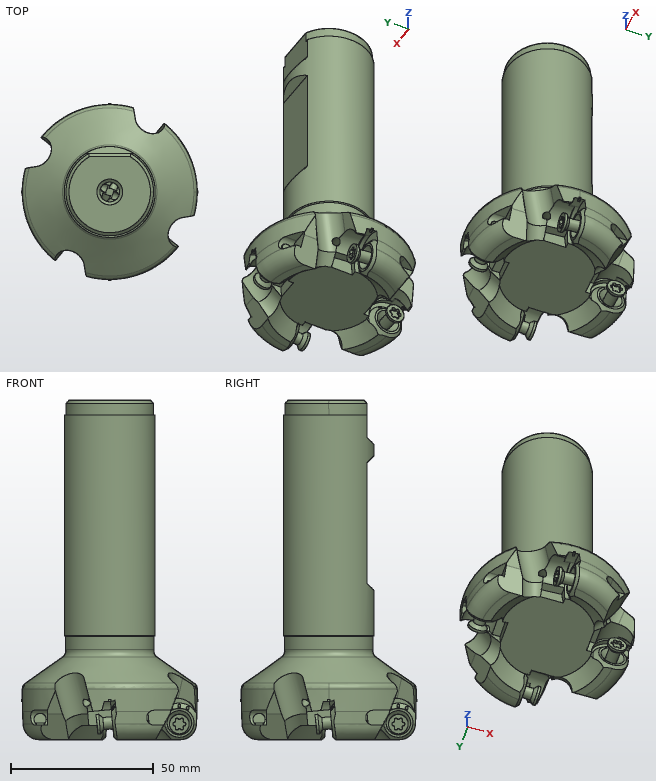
import cadquery as cq
import math


total_height = 118.9
outer_radius = 30.9
pocket_count = 4
reach = 35.7

shank_radius = 15.9
collar_radius = 15.3
collar_bottom = 113.7
collar_chamfer = 1.1
neck_radius = 15.6
neck_top = 36.1
neck_bottom = 31.6
neck_flare_radius = 16.5
neck_flare_bottom = 29.0
cone_end_radius = 29.5
cone_end_height = 19.8
rim_radius = 30.7
rim_top = 17.8
rim_bottom = 9.9
rim_corner_radius = 5.6
rim_taper = 0.2

flat_distance = 13.4
upper_flat_bottom = 105.8
lower_flat_top = 97.0
lower_flat_bottom = 54.7

recess_mouth_radius = 21.9
recess_floor_radius = 17.1
recess_depth = 5.0

bore_radius = 3.5
bore_mouth_radius = 4.5
bore_bottom = 26.1
branch_radius = 1.4
branch_inlet = (-1.1, -1.0)
branch_outlet = (-8.8, -21.4, 11.6)

gullet_lean = 0.26
gullet_lean_in = 0.22
gullet_radius = 5.5
gullet_center_x = -13.7
gullet_center_y = -25.0
gullet_top = 28.5
throat_slope = 0.8
throat_top = 9.0
back_wall_x = -10.7
back_wall_top = 21.4
back_wall_top_y = -25.7
back_wall_bend = 9.0
back_wall_bend_y = -21.0
back_wall_foot_y = -16.0

screw_tilt = 5.4
screw_offset = 24.4
seat_x = 1.0
seat_height = 6.0
seat_radius = 5.1
seat_foot_radius = 6.8
groove_radius = 9.0
groove_shift = 1.4
groove_depth = 1.7
groove_front = 2.1
groove_flare = 1.9
insert_room_length = 8.3
insert_room_top = 4.6
insert_room_inner = 9.5
room_arch_radius = 6.2
room_arch_shift = 0.6
room_arch_rise = 3.1
index_notch_radius = 0.5
index_notch_angles = (-30, 0, 30)
countersink_radius = 4.3
nub_size = 0.7
nub_height = 13.3

stem_radius = 2.1
screw_tail = 12.7
head_radius = 3.5
head_front = 5.5
head_rim = 1.0
head_cone = 1.3
socket_radius = 1.7
socket_lobe_radius = 0.6
socket_lobes = 6
socket_depth = 1.2

slot_half_width = 2.6
slot_start = 15.6
slot_height = 7.7
slot_floor = 21.9

seat_plane = cq.Plane(
    origin=(seat_x, -screw_offset, seat_height),
    xDir=(0, -1, 0),
    normal=(math.cos(math.radians(screw_tilt)), 0, math.sin(math.radians(screw_tilt))),
)


def around(shape):
    """Copies of a shape at every pocket position around Z."""
    step = 360.0 / pocket_count
    return [shape.rotate((0, 0, 0), (0, 0, 1), i * step) for i in range(pocket_count)]


def screw_cone(start, end, start_radius, end_radius):
    """Cone or cylinder on the screw axis between two distances behind the seat face."""
    base = seat_plane.toWorldCoords((0, 0, start))
    if start_radius == end_radius:
        return cq.Solid.makeCylinder(start_radius, end - start, base, seat_plane.zDir)
    return cq.Solid.makeCone(start_radius, end_radius, end - start, base, seat_plane.zDir)


def screw_cylinder(start, end, radius):
    return screw_cone(start, end, radius, radius)


def make_blank():
    corner = rim_corner_radius
    low_radius = rim_radius - rim_taper
    diagonal = corner * math.sqrt(0.5)
    return (
        cq.Workplane("XZ")
        .moveTo(0, 0)
        .lineTo(low_radius - corner, 0)
        .threePointArc((low_radius - corner + diagonal, corner - diagonal), (low_radius, corner))
        .lineTo(rim_radius, rim_bottom)
        .lineTo(rim_radius, rim_top)
        .tangentArcPoint((cone_end_radius, cone_end_height), relative=False)
        .lineTo(neck_flare_radius, neck_flare_bottom)
        .tangentArcPoint((neck_radius, neck_bottom), relative=False)
        .lineTo(neck_radius, neck_top)
        .lineTo(shank_radius, neck_top + shank_radius - neck_radius)
        .lineTo(shank_radius, collar_bottom)
        .lineTo(collar_radius, collar_bottom)
        .lineTo(collar_radius, total_height)
        .lineTo(0, total_height)
        .close()
        .revolve(360, (0, 0), (0, 1))
    )


def flat_cutter(bottom, top):
    """Block beyond the flat, widening outward so that both ends slope at 45 degrees."""
    flare = reach - flat_distance
    return (
        cq.Workplane("YZ")
        .polyline([
            (flat_distance, bottom),
            (flat_distance, top),
            (reach, top + flare),
            (reach, bottom - flare),
        ])
        .close()
        .extrude(shank_radius, both=True)
        .intersect(cq.Workplane("XY", origin=(0, 0, neck_top)).circle(reach).extrude(total_height))
        .val()
    )


def lower_flat_cutter():
    return flat_cutter(lower_flat_bottom, lower_flat_top)


def upper_flat_cutter():
    return flat_cutter(upper_flat_bottom, total_height)


def underside_recess():
    return cq.Solid.makeCone(recess_mouth_radius, recess_floor_radius, recess_depth)


def coolant_bore():
    """Central bore from the top face with a chamfered mouth."""
    mouth_depth = bore_mouth_radius - bore_radius
    bore = cq.Solid.makeCylinder(bore_radius, total_height - bore_bottom, cq.Vector(0, 0, bore_bottom))
    mouth = cq.Solid.makeCone(
        bore_radius, bore_mouth_radius, mouth_depth, cq.Vector(0, 0, total_height - mouth_depth)
    )
    return bore.fuse(mouth)


def coolant_branch():
    """Sloping channel from the bottom of the bore to the gullet wall."""
    start = cq.Vector(*branch_inlet, bore_bottom)
    run = cq.Vector(*branch_outlet) - start
    return cq.Solid.makeCylinder(branch_radius, run.Length, start, run)


def gullet_axis_x(height):
    return gullet_center_x + gullet_lean * (rim_top - height)


def gullet_axis_y(height):
    return gullet_center_y + gullet_lean_in * (rim_top - height)


def gullet_flute():
    """Leaning round-bottomed flute, open outward."""
    plane = cq.Plane(
        origin=(gullet_axis_x(gullet_top), gullet_axis_y(gullet_top), gullet_top),
        xDir=(1, 0, gullet_lean),
        normal=(gullet_lean, gullet_lean_in, -1),
    )
    return (
        cq.Workplane(plane)
        .moveTo(-gullet_radius, reach)
        .lineTo(-gullet_radius, 0)
        .threePointArc((0, -gullet_radius), (gullet_radius, 0))
        .lineTo(gullet_radius, reach)
        .close()
        .extrude(reach)
        .val()
    )


def gullet_throat():
    """Round channel that carries the gullet inward to the underside recess."""
    wall_y = gullet_axis_y(throat_top) + gullet_radius
    center_y = wall_y - gullet_radius * math.hypot(1, throat_slope)
    entry = cq.Vector(gullet_axis_x(throat_top), center_y, throat_top)
    axis = cq.Vector(gullet_lean, throat_slope, -1)
    length = axis.Length * (throat_top + 2 * gullet_radius)
    return cq.Solid.makeCylinder(gullet_radius, length, entry, axis)


def gullet_back_wall():
    """Space behind the next tooth, bounded by two flat walls that slope inward going down."""
    return (
        cq.Workplane("YZ", origin=(back_wall_x, 0, 0))
        .polyline([
            (-reach, back_wall_top),
            (back_wall_top_y, back_wall_top),
            (back_wall_bend_y, back_wall_bend),
            (back_wall_foot_y, 0),
            (-reach, 0),
        ])
        .close()
        .extrude(-reach)
        .val()
    )


def seat_boss():
    """Raised round seat with a conical flank, notched along its upper side."""
    boss = screw_cone(0, groove_depth, seat_radius, seat_foot_radius)
    base = seat_plane.toWorldCoords((0, 0, groove_depth / 2))
    upward = seat_plane.yDir.multiply(-1)
    notch = cq.Solid.makeCylinder(
        index_notch_radius, seat_foot_radius, base + upward.multiply(seat_radius), upward
    )
    axis_end = base + seat_plane.zDir
    return boss.cut(*[notch.rotate(base, axis_end, angle) for angle in index_notch_angles])


def seat_groove():
    """Round groove about the seat boss, with a conical lip toward the front."""
    center = seat_plane.toWorldCoords((groove_shift, 0, -groove_front))
    axis = seat_plane.zDir
    groove = cq.Solid.makeCylinder(groove_radius, groove_front + groove_depth, center, axis)
    lip = cq.Solid.makeCone(groove_radius, seat_radius, groove_flare, center, axis.multiply(-1))
    return groove.fuse(lip).cut(seat_boss())


def insert_room():
    """Open space in front of the seat for an insert, with an arched roof."""
    room = (
        cq.Workplane(seat_plane)
        .polyline([
            (-insert_room_inner, -insert_room_top),
            (reach, -insert_room_top),
            (reach, reach),
            (-insert_room_inner, reach),
        ])
        .close()
        .extrude(-insert_room_length)
        .val()
    )
    arch = (
        cq.Workplane(seat_plane)
        .center(-room_arch_shift, -room_arch_rise)
        .circle(room_arch_radius)
        .extrude(-insert_room_length)
        .val()
    )
    return room.fuse(arch)


def screw_hole():
    """Hole for the screw stem with a countersunk mouth."""
    hole = screw_cylinder(0, screw_tail, stem_radius)
    countersink = screw_cone(0, countersink_radius - stem_radius, countersink_radius, stem_radius)
    return hole.fuse(countersink)


def tail_slot():
    """Flat-floored slot in the rim that opens into the next gullet."""
    return (
        cq.Workplane("XZ", origin=(slot_start, -slot_floor, slot_height))
        .moveTo(0, slot_half_width)
        .threePointArc((-slot_half_width, 0), (0, -slot_half_width))
        .lineTo(reach, -slot_half_width)
        .lineTo(reach, slot_half_width)
        .close()
        .extrude(reach - slot_floor)
        .val()
    )


def rim_nub():
    """Small nub at the top of the pocket, standing just proud of the rim."""
    depth = 2 * nub_size
    return cq.Solid.makeBox(
        nub_size, depth, nub_size, cq.Vector(-nub_size / 2, -outer_radius, nub_height)
    )


def make_cutter():
    body = make_blank().val()
    body = body.cut(lower_flat_cutter(), upper_flat_cutter())
    top_edges = cq.Workplane(body).faces(">Z").edges()
    body = top_edges.chamfer(collar_chamfer).val()
    body = body.cut(underside_recess(), coolant_bore())
    pocket_cuts = [
        coolant_branch(),
        gullet_flute(),
        gullet_throat(),
        gullet_back_wall(),
        seat_groove(),
        insert_room(),
        screw_hole(),
        tail_slot(),
    ]
    for pocket_cut in pocket_cuts:
        body = body.cut(*around(pocket_cut))
    body = body.fuse(*around(rim_nub()))
    return cq.Workplane(body).solids().val()


def make_screw():
    """Screw with a disc head, a conical underside and a six-lobed socket."""
    rim_end = head_rim - head_front
    stem_start = rim_end + head_cone
    head = screw_cylinder(-head_front, rim_end, head_radius)
    cone = screw_cone(rim_end, stem_start, head_radius, stem_radius)
    stem = screw_cylinder(stem_start, screw_tail, stem_radius)
    socket = (
        cq.Workplane(seat_plane)
        .workplane(offset=-head_front)
        .circle(socket_radius)
        .extrude(socket_depth)
        .polarArray(socket_radius, 0, 360, socket_lobes)
        .circle(socket_lobe_radius)
        .extrude(socket_depth)
        .val()
    )
    screw = head.fuse(cone, stem).clean().cut(socket)
    return cq.Workplane(screw).solids().val()


cutter = make_cutter()
screws = around(make_screw())
result = cq.Compound.makeCompound([cutter, *screws])